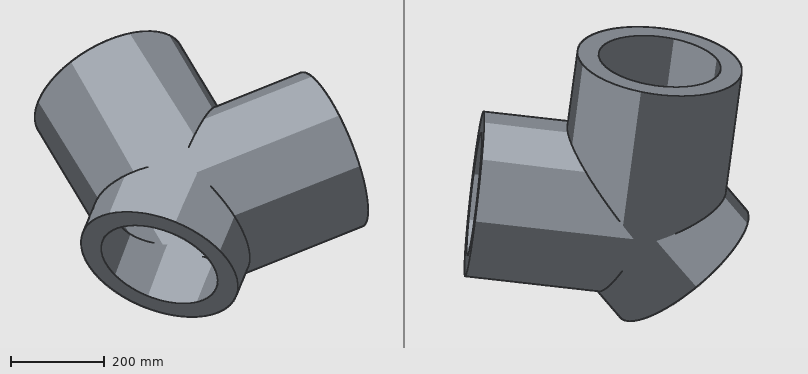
import cadquery as cq
import math

overall_width = 754.0
overall_depth = 529.5
outer_diameter = 355.0
bore_diameter = 263.0
branch_angle = 45.0

angle = math.radians(branch_angle)
outer_radius = outer_diameter / 2
branch_length = (overall_width / 2 - outer_radius * math.cos(angle)) / math.sin(angle)
branch_tip_y = branch_length * math.cos(angle) + outer_radius * math.sin(angle)
inlet_length = overall_depth - branch_tip_y

legs = [
    (cq.Vector(0, -1, 0), inlet_length),
    (cq.Vector(-math.sin(angle), math.cos(angle), 0), branch_length),
    (cq.Vector(math.sin(angle), math.cos(angle), 0), branch_length),
]


def three_way_body(diameter):
    """Fuse one cylinder per leg, each running from the junction to its open end."""
    body = cq.Workplane("XY")
    for direction, length in legs:
        leg = cq.Solid.makeCylinder(diameter / 2, length, cq.Vector(0, 0, 0), direction)
        body = body.union(cq.Workplane(leg))
    return body


result = three_way_body(outer_diameter).cut(three_way_body(bore_diameter))